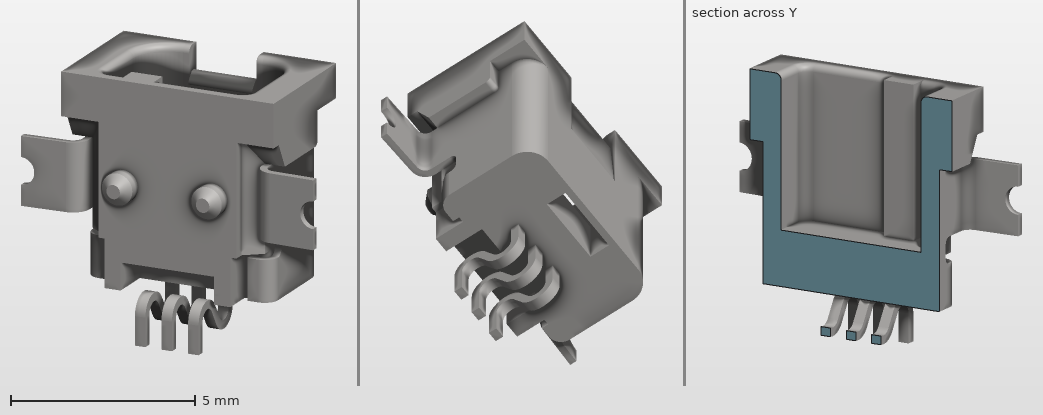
import cadquery as cq
import math


SIDES = (-1, 1)
OUTSIDE = 3.96
SHEET = 0.2

HEIGHT = 6.0
DEPTH = 3.9
HEAD_WIDTH = 6.4
HEAD_HEIGHT = 1.0
SHOULDER_Z = 3.995
SHOULDER_BACK = 2.75
SHOULDER_RADIUS = 0.15
TRUNK_WIDTH = 5.6
TRUNK_FRONT = 0.7
TRUNK_BACK_RADIUS = 0.7
TRUNK_FRONT_RADIUS = 0.4
CORE_X = TRUNK_WIDTH / 2 - SHEET

RECESS_X = 2.08
RECESS_TOP = 4.73
RECESS_STEP = 0.32
RECESS_BOTTOM = 1.42
FOOT_X = 1.89
FOOT_SLOT_WIDTH = 0.18
FOOT_SLOT_BACK = TRUNK_FRONT + SHEET
POST_TOP = 1.22

SPAN = 8.8
TAB_TIP_X = SPAN / 2
TAB_BOTTOM = 2.0
TAB_BEND_RADIUS = 0.48
TAB_BEND_Y = 0.5
TAB_TILT = math.radians(2)
TAB_NOTCH_RADIUS = 0.4
SIDE_NOTCH_BACK = 1.32

PEG_X = 1.35
PEG_Z = 3.0
PEG_RADIUS = 0.46
PEG_TIP_RADIUS = 0.2
PEG_LENGTH = 0.6
PEG_STRAIGHT = 0.35
PEG_ROOT = 0.22

CAVITY_WIDTH = 4.4
CAVITY_FRONT = 0.44
CAVITY_BACK = 3.45
CAVITY_FLOOR = 1.6
CAVITY_FRONT_RADIUS = 0.28
CAVITY_BACK_RADIUS = 1.0
RIM_RADIUS = 0.2
KEY_LEFT = -1.47
KEY_WIDTH = 0.92
KEY_BACK = 0.81

LATCH_SLOT_WIDTH = 2.02
LATCH_SLOT_FRONT = 3.08
LATCH_WIDTH = 1.92
LATCH_ROOT = 3.25
LATCH_FRONT = DEPTH - SHEET

PIN_COUNT = 3
PIN_PITCH = 0.8
PIN_WIDTH = 0.32
PIN_THICKNESS = 0.25
PIN_BACK_Y = 1.96
PIN_FRONT_Y = 0.08
PIN_BEND_RADIUS = 0.43
PIN_BEND_Z = -0.65
PIN_BOTTOM = -1.5
PIN_NOTCH_WIDTH = 2.82
PIN_NOTCH_HEIGHT = 0.8
PIN_NOTCH_DEPTH = 1.2


def block(x0, x1, y0, y1, z0, z1):
    """Box between two opposite corners."""
    return cq.Workplane("XY").box(x1 - x0, y1 - y0, z1 - z0, centered=False).translate((x0, y0, z0))


def side_block(side, x0, x1, y0, y1, z0, z1):
    """Box at distances x0 to x1 from the symmetry plane, on the given side."""
    near, far = sorted((side * x0, side * x1))
    return block(near, far, y0, y1, z0, z1)


def centred_block(width, y0, y1, z0, z1):
    return block(-width / 2, width / 2, y0, y1, z0, z1)


def corner_rounding(side, x, y, radius, z0, z1):
    """Material to remove so that the outer front corner at (x, y) becomes round."""
    corner = side_block(side, x - radius, x, y, y + radius, z0, z1)
    kept = cq.Workplane("XY", origin=(side * (x - radius), y + radius, z0)).circle(radius).extrude(z1 - z0)
    return corner.cut(kept)


def make_housing():
    """Head, shoulders, trunk with rounded back corners and front slab, still solid."""
    head = centred_block(HEAD_WIDTH, 0, DEPTH, HEIGHT - HEAD_HEIGHT, HEIGHT)
    shoulders = centred_block(HEAD_WIDTH, 0, SHOULDER_BACK, SHOULDER_Z, HEIGHT - HEAD_HEIGHT)
    shoulders = shoulders.edges("|X and >Y and <Z").fillet(SHOULDER_RADIUS)
    trunk = centred_block(TRUNK_WIDTH, TRUNK_FRONT, DEPTH, 0, HEIGHT - HEAD_HEIGHT)
    trunk = trunk.edges("|Z and >Y").fillet(TRUNK_BACK_RADIUS)
    slab = centred_block(2 * CORE_X, 0, TRUNK_FRONT, 0, SHOULDER_Z)
    return head.union(shoulders).union(trunk).union(slab)


def side_notch(side):
    """Shallow notch in the trunk side between the tab and the front post."""
    notch = side_block(side, CORE_X, OUTSIDE, 0, SIDE_NOTCH_BACK, POST_TOP, TAB_BOTTOM)
    return notch.edges("|X and >Y").fillet(SHEET)


def front_recess(side):
    """Corner recess: a straight step, then walls that slope in to the trunk."""
    step = side_block(side, RECESS_X, OUTSIDE, 0, RECESS_STEP, RECESS_BOTTOM, RECESS_TOP)

    def outline(x_in, top, y):
        corners = [(x_in, RECESS_BOTTOM), (OUTSIDE, RECESS_BOTTOM), (OUTSIDE, top), (x_in, top)]
        return cq.Wire.makePolygon([cq.Vector(side * x, y, z) for x, z in corners], close=True)

    slope = cq.Solid.makeLoft(
        [outline(RECESS_X, RECESS_TOP, RECESS_STEP), outline(CORE_X, SHOULDER_Z, TRUNK_FRONT)], True
    )
    return step.union(cq.Workplane(slope))


def foot_cuts(side):
    """Clearances below the recess: beside the foot, a slot beside the post, and round corners."""
    beside = side_block(side, FOOT_X, OUTSIDE, 0, TRUNK_FRONT, 0, RECESS_BOTTOM)
    slot = side_block(side, FOOT_X, FOOT_X + FOOT_SLOT_WIDTH, 0, FOOT_SLOT_BACK, 0, POST_TOP)
    shelf = side_block(side, FOOT_X, OUTSIDE, 0, FOOT_SLOT_BACK, POST_TOP, RECESS_BOTTOM)
    shelf_corner = corner_rounding(side, CORE_X, FOOT_SLOT_BACK, SHEET, POST_TOP, RECESS_BOTTOM)
    post_corner = corner_rounding(side, TRUNK_WIDTH / 2, TRUNK_FRONT, TRUNK_FRONT_RADIUS, 0, POST_TOP)
    return [beside, slot, shelf, shelf_corner, post_corner]


def make_tab(side):
    """Sheet tab that leaves the trunk side, bends outward and has a half-round end notch."""
    centre_x = CORE_X + TAB_BEND_RADIUS
    inner_radius = TAB_BEND_RADIUS - SHEET
    bend = math.pi / 2 - TAB_TILT

    def on_bend(radius, angle):
        return (centre_x - radius * math.cos(angle), TAB_BEND_Y - radius * math.sin(angle))

    def tip(radius):
        x, y = on_bend(radius, bend)
        return (TAB_TIP_X, y - (TAB_TIP_X - x) * math.tan(TAB_TILT))

    profile = (
        cq.Workplane("XY", origin=(0, 0, TAB_BOTTOM))
        .moveTo(CORE_X, TRUNK_FRONT)
        .lineTo(CORE_X, TAB_BEND_Y)
        .threePointArc(on_bend(TAB_BEND_RADIUS, bend / 2), on_bend(TAB_BEND_RADIUS, bend))
        .lineTo(*tip(TAB_BEND_RADIUS))
        .lineTo(*tip(inner_radius))
        .lineTo(*on_bend(inner_radius, bend))
        .threePointArc(on_bend(inner_radius, bend / 2), on_bend(inner_radius, 0))
        .lineTo(CORE_X + SHEET, TRUNK_FRONT)
        .close()
    )
    tab = profile.extrude(SHOULDER_Z - TAB_BOTTOM)
    end_notch = (
        cq.Workplane("XZ", origin=(TAB_TIP_X, 0, (TAB_BOTTOM + SHOULDER_Z) / 2))
        .circle(TAB_NOTCH_RADIUS)
        .extrude(TRUNK_FRONT, both=True)
    )
    tab = tab.cut(end_notch)
    return tab if side > 0 else tab.mirror("YZ")


def make_peg(side):
    """Round board peg with a conical tip, pointing to -Y."""
    return (
        cq.Workplane("XY")
        .moveTo(0, PEG_ROOT)
        .lineTo(PEG_RADIUS, PEG_ROOT)
        .lineTo(PEG_RADIUS, -PEG_STRAIGHT)
        .lineTo(PEG_TIP_RADIUS, -PEG_LENGTH)
        .lineTo(0, -PEG_LENGTH)
        .close()
        .revolve(360, (0, 0, 0), (0, 1, 0))
        .translate((side * PEG_X, 0, PEG_Z))
    )


def cut_cavity(housing):
    """Mating cavity with a rounded rim."""
    cavity = centred_block(CAVITY_WIDTH, CAVITY_FRONT, CAVITY_BACK, CAVITY_FLOOR, HEIGHT)
    cavity = cavity.edges("|Z and >Y").fillet(CAVITY_BACK_RADIUS)
    cavity = cavity.edges("|Z and <Y").fillet(CAVITY_FRONT_RADIUS)
    margin = 0.09
    rim = cq.selectors.BoxSelector(
        (-CAVITY_WIDTH / 2 - margin, CAVITY_FRONT - margin, HEIGHT - margin),
        (CAVITY_WIDTH / 2 + margin, CAVITY_BACK + margin, HEIGHT + margin),
    )
    return housing.cut(cavity).faces(">Z").edges(rim).fillet(RIM_RADIUS)


def make_latch():
    """Spring arm that leans inward from the thin back wall and ends in a blunt hook."""
    nose_top = (3.335, 5.1)
    nose_bottom = (3.31, 4.96)
    lip_front = (3.32, 4.77)
    lip_under = (3.36, 4.73)
    arm_under_hook = (3.59, 4.68)
    arm_back_top = (3.78, 5.06)
    crown = [(3.73, 5.21), (3.64, 5.31), (3.5, 5.29)]
    return (
        cq.Workplane("YZ", origin=(-LATCH_WIDTH / 2, 0, 0))
        .polyline([arm_under_hook, (LATCH_FRONT, LATCH_ROOT), (DEPTH, LATCH_ROOT), arm_back_top] + crown)
        .lineTo(*nose_top)
        .tangentArcPoint(nose_bottom, relative=False)
        .lineTo(*lip_front)
        .tangentArcPoint(lip_under, relative=False)
        .close()
        .extrude(LATCH_WIDTH)
    )


def make_pin(x):
    """Flat pin: down from the housing, round a U, over a hump and down again."""
    rear_y = PIN_BACK_Y - PIN_BEND_RADIUS
    front_y = PIN_FRONT_Y + PIN_BEND_RADIUS
    half = PIN_THICKNESS / 2
    slope = math.asin(2 * PIN_BEND_RADIUS / (rear_y - front_y))
    turn = math.pi / 2 + slope

    def on_bend(centre_y, direction, radius, angle):
        y = centre_y + direction * radius * math.cos(angle)
        return (y, PIN_BEND_Z - direction * radius * math.sin(angle))

    def rear(offset, angle):
        return on_bend(rear_y, 1, PIN_BEND_RADIUS + offset, angle)

    def front(offset, angle):
        return on_bend(front_y, -1, PIN_BEND_RADIUS - offset, angle)

    return (
        cq.Workplane("YZ", origin=(x - PIN_WIDTH / 2, 0, 0))
        .moveTo(PIN_BACK_Y + half, 0)
        .lineTo(*rear(half, 0))
        .threePointArc(rear(half, turn / 2), rear(half, turn))
        .lineTo(*front(half, turn))
        .threePointArc(front(half, turn / 2), front(half, 0))
        .lineTo(PIN_FRONT_Y + half, PIN_BOTTOM)
        .lineTo(PIN_FRONT_Y - half, PIN_BOTTOM)
        .lineTo(*front(-half, 0))
        .threePointArc(front(-half, turn / 2), front(-half, turn))
        .lineTo(*rear(-half, turn))
        .threePointArc(rear(-half, turn / 2), rear(-half, 0))
        .lineTo(PIN_BACK_Y - half, 0)
        .close()
        .extrude(PIN_WIDTH)
    )


part = cut_cavity(make_housing())
part = part.cut(centred_block(LATCH_SLOT_WIDTH, LATCH_SLOT_FRONT, LATCH_FRONT, 0, HEIGHT))
part = part.cut(centred_block(LATCH_SLOT_WIDTH, LATCH_FRONT, DEPTH, LATCH_ROOT, HEIGHT))
part = part.cut(centred_block(PIN_NOTCH_WIDTH, 0, PIN_NOTCH_DEPTH, 0, PIN_NOTCH_HEIGHT))
part = part.union(block(KEY_LEFT, KEY_LEFT + KEY_WIDTH, 0, KEY_BACK, CAVITY_FLOOR, HEIGHT))
part = part.union(make_latch())

for side in SIDES:
    for cutter in [front_recess(side), side_notch(side)] + foot_cuts(side):
        part = part.cut(cutter)
    part = part.union(make_tab(side)).union(make_peg(side))

for index in range(PIN_COUNT):
    part = part.union(make_pin((index - (PIN_COUNT - 1) / 2) * PIN_PITCH))

result = part.clean()